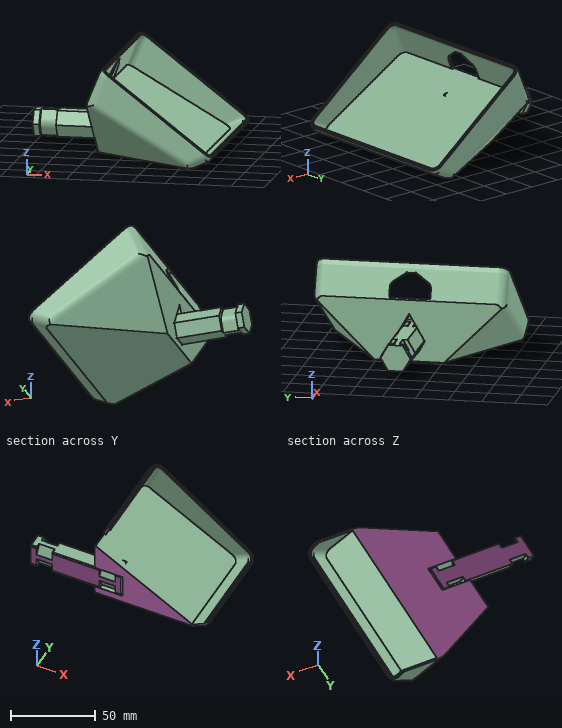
import cadquery as cq
import math


WIDTH = 117.0
HALF_WIDTH = WIDTH / 2
RIM_LENGTH = 83.9
RIM_TILT = 37.5
RIM_FRONT_X = 9.7
RIM_FRONT_Z = 58.3
RIM_CHAMFER = 0.5
RIM_BAND = 4.0
FRONT_LEAN = 15.0
BACK_LEAN = 27.5
FLOOR_TILT = 30.0
UNDERSIDE_Z = 33.6
FLOOR_THICKNESS = 4.7
WALL = 1.8
CORNER_RADIUS = 6.0
INNER_CORNER_RADIUS = CORNER_RADIUS - WALL

WINDOW_TOP_Z = 52.4
WINDOW_WIDTH = 25.0
WINDOW_TOP_WIDTH = 5.5
WINDOW_SHOULDER_Z = 46.0
WINDOW_SHOULDER_RADIUS = 4.5
WINDOW_FOOT_RADIUS = 1.0
WINDOW_EDGE_RADIUS = 0.89
WINDOW_REACH = 14.2

PIN_AXIS_Z = 12.8
PIN_ACROSS_FLATS = 15.9
PIN_APOTHEM = PIN_ACROSS_FLATS / 2
PIN_LENGTH = 60.0
PIN_PROJECTION = 42.5
PIN_HEAD = 4.0
NECK_LENGTH = 10.3
NECK_RADIUS = 5.5
BORE_CLEARANCE = 0.21
BORE_DEPTH = 18.5

COS_30 = math.cos(math.radians(30))
SIN_30 = math.sin(math.radians(30))
FLOOR_COS = math.cos(math.radians(FLOOR_TILT))
FLOOR_SIN = math.sin(math.radians(FLOOR_TILT))
FLOOR_SLOPE = cq.Vector(FLOOR_COS, 0, -FLOOR_SIN)
FLOOR_Z = UNDERSIDE_Z + FLOOR_THICKNESS / FLOOR_COS

THROUGH = 2 * WIDTH


def tray_section(wall_offset, floor_rise):
    """Section of the tray in XZ: inset from the walls and raised off the underside plane."""
    rim_cos = math.cos(math.radians(RIM_TILT))
    rim_sin = math.sin(math.radians(RIM_TILT))

    def place(along, depth):
        x = RIM_FRONT_X + along * rim_cos - depth * rim_sin
        z = RIM_FRONT_Z - along * rim_sin - depth * rim_cos
        return x, z

    rise = math.tan(math.radians(RIM_TILT - FLOOR_TILT))
    floor_z = UNDERSIDE_Z + floor_rise / FLOOR_COS
    height_above_floor = RIM_FRONT_Z - floor_z + RIM_FRONT_X * math.tan(math.radians(FLOOR_TILT))
    depth_at_front = height_above_floor * FLOOR_COS / math.cos(math.radians(RIM_TILT - FLOOR_TILT))

    def wall_points(start, inward, lean):
        rim = start + inward * wall_offset
        band = RIM_BAND - wall_offset * math.tan(math.radians(lean / 2))
        slope = inward * math.tan(math.radians(lean))
        foot_depth = (depth_at_front - rise * (rim - slope * band)) / (1 + rise * slope)
        foot = rim + slope * (foot_depth - band)
        return [place(rim, 0), place(rim, band), place(foot, foot_depth)]

    front = wall_points(0, 1, FRONT_LEAN)
    back = wall_points(RIM_LENGTH, -1, BACK_LEAN)
    return front + back[::-1]


def tray_prism(points, width, radius, rounded_below):
    """Prism of a tray section, with its side edges shorter than the given length rounded."""
    prism = cq.Workplane("XZ").polyline(points).close().extrude(width / 2, both=True)
    edges = prism.faces("<Y or >Y").edges().filter(lambda edge: edge.Length() < rounded_below)
    return edges.fillet(radius)


def along_floor(z_at_origin):
    """Workplane facing down the floor slope, with local x along Y and local y square to the floor."""
    origin = (0, 0, z_at_origin)
    return cq.Workplane(cq.Plane(origin=origin, xDir=(0, 1, 0), normal=FLOOR_SLOPE))


def base_wedge():
    """V-shaped base under the tray, tangent to the tray's lower side fillets."""
    flank_angle = math.atan(FLOOR_COS)
    tangent_y = HALF_WIDTH - CORNER_RADIUS * (1 - math.sin(flank_angle))
    tangent_height = CORNER_RADIUS * (1 - math.cos(flank_angle))
    keel_height = tangent_height - tangent_y * FLOOR_COS
    section = [(-tangent_y, tangent_height), (tangent_y, tangent_height), (0, keel_height)]
    return along_floor(UNDERSIDE_Z).polyline(section).close().extrude(THROUGH / 2, both=True)


def window_cutter():
    """Five-sided opening with a flat top, its shoulders and feet rounded."""
    half_width = WINDOW_WIDTH / 2
    half_top = WINDOW_TOP_WIDTH / 2
    outline = [
        (-half_width, 0),
        (half_width, 0),
        (half_width, WINDOW_SHOULDER_Z),
        (half_top, WINDOW_TOP_Z),
        (-half_top, WINDOW_TOP_Z),
        (-half_width, WINDOW_SHOULDER_Z),
    ]

    def is_shoulder(edge):
        return math.isclose(edge.Center().z, WINDOW_SHOULDER_Z, abs_tol=0.01)

    cutter = cq.Workplane("YZ").polyline(outline).close().extrude(WINDOW_REACH)
    cutter = cutter.edges("|X").filter(is_shoulder).fillet(WINDOW_SHOULDER_RADIUS)

    above_floor = along_floor(FLOOR_Z).center(0, THROUGH / 2).rect(THROUGH, THROUGH).extrude(THROUGH, both=True)
    feet = cq.selectors.ParallelDirSelector(FLOOR_SLOPE)
    return cutter.intersect(above_floor).edges(feet).fillet(WINDOW_FOOT_RADIUS)


def bore_cutter():
    """Hexagonal bore whose upper flanks run on to a pointed roof."""
    apothem = PIN_APOTHEM + BORE_CLEARANCE
    half_corners = apothem / COS_30
    outline = [
        (half_corners, 0),
        (0, 2 * apothem),
        (-half_corners, 0),
        (-half_corners / 2, -apothem),
        (half_corners / 2, -apothem),
    ]
    return cq.Workplane("YZ").center(0, PIN_AXIS_Z).polyline(outline).close().extrude(BORE_DEPTH)


def make_housing():
    outer = tray_prism(tray_section(0, 0), WIDTH, CORNER_RADIUS, RIM_LENGTH - WALL)
    housing = outer.union(base_wedge())

    envelope = cq.Workplane("XY").box(THROUGH, THROUGH, THROUGH, centered=(False, True, False))
    housing = housing.intersect(envelope)

    cavity_section = tray_section(WALL, FLOOR_THICKNESS)
    cavity = tray_prism(cavity_section, WIDTH - 2 * WALL, INNER_CORNER_RADIUS, RIM_LENGTH / 2)
    housing = housing.cut(cavity)

    rim_angle = math.radians(RIM_TILT)
    rim_normal = cq.Vector(math.sin(rim_angle), 0, math.cos(rim_angle))
    rim = housing.faces(cq.selectors.DirectionMinMaxSelector(rim_normal))
    housing = rim.chamfer(RIM_CHAMFER)

    housing = housing.cut(window_cutter())
    wall_angle = math.radians(RIM_TILT - FRONT_LEAN)
    outward = cq.Vector(-math.cos(wall_angle), 0, math.sin(wall_angle))
    front_wall = housing.faces(cq.selectors.DirectionMinMaxSelector(outward)).val()
    window_edges = front_wall.innerWires()[0].Edges()
    housing = housing.newObject(window_edges).fillet(WINDOW_EDGE_RADIUS)
    return housing.cut(bore_cutter())


def pin_hexagon(start, length):
    """Hexagonal length of the pin, with flats at top and bottom."""
    plane = cq.Workplane("YZ", origin=(start, 0, PIN_AXIS_Z))
    return plane.polygon(6, PIN_ACROSS_FLATS / COS_30).extrude(length)


def pin_neck(start):
    """Neck whose round sides run tangentially into slopes ending at the hexagon's flats."""
    tangent_y = NECK_RADIUS * COS_30
    tangent_z = NECK_RADIUS * SIN_30
    half_flat = (NECK_RADIUS - PIN_APOTHEM * SIN_30) / COS_30
    return (
        cq.Workplane("YZ", origin=(start, 0, PIN_AXIS_Z))
        .moveTo(half_flat, PIN_APOTHEM)
        .lineTo(tangent_y, tangent_z)
        .threePointArc((NECK_RADIUS, 0), (tangent_y, -tangent_z))
        .lineTo(half_flat, -PIN_APOTHEM)
        .lineTo(-half_flat, -PIN_APOTHEM)
        .lineTo(-tangent_y, -tangent_z)
        .threePointArc((-NECK_RADIUS, 0), (-tangent_y, tangent_z))
        .lineTo(-half_flat, PIN_APOTHEM)
        .close()
        .extrude(NECK_LENGTH)
    )


def make_pin():
    """Hexagonal pin with a neck and a head at each end."""
    outer_end = -PIN_PROJECTION
    inner_end = outer_end + PIN_LENGTH
    shaft_start = outer_end + PIN_HEAD + NECK_LENGTH
    shaft_end = inner_end - PIN_HEAD - NECK_LENGTH

    pin = pin_hexagon(shaft_start, shaft_end - shaft_start)
    for head_start, neck_start in (
        (outer_end, outer_end + PIN_HEAD),
        (inner_end - PIN_HEAD, shaft_end),
    ):
        pin = pin.union(pin_neck(neck_start)).union(pin_hexagon(head_start, PIN_HEAD))
    return pin.clean()


housing = make_housing()
pin = make_pin()
result = cq.Compound.makeCompound([housing.val(), pin.val()])